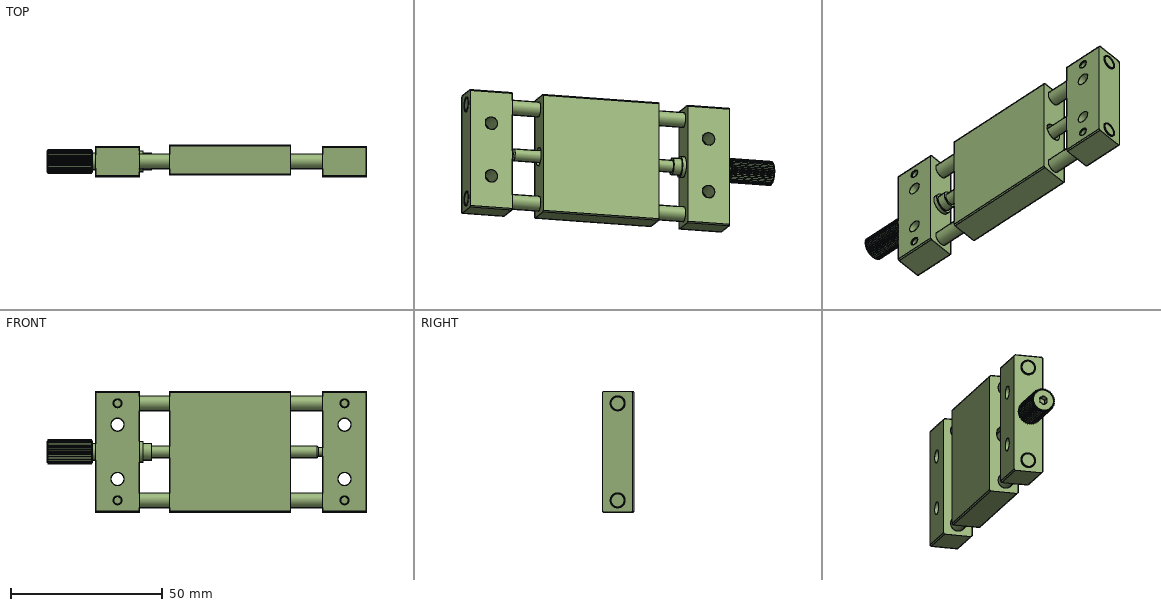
import cadquery as cq
import math

block_length = 14.5
height = 40.0
thickness = 10.0
left_block_start = 16.0
left_block_end = left_block_start + block_length
carriage_start = 40.5
carriage_length = height
right_block_end = 105.5
right_block_start = right_block_end - block_length
block_center_y = -0.06
carriage_center_y = block_center_y + 0.5
block_front_y = block_center_y - thickness / 2
edge_chamfer = 0.4

rod_diameter = 5.0
rod_spacing = 32.1
rod_chamfer = 0.3
rod_positions = [-rod_spacing / 2, rod_spacing / 2]

mount_hole_diameter = 4.2
mount_hole_spacing = 17.9
set_hole_diameter = 2.4
set_hole_mouth_diameter = 3.0
set_hole_depth = 2.1

shaft_diameter = 5.6
flange_diameter = 7.0
flange_length = 1.3
bushing_end = 34.5
screw_diameter = 4.0
screw_end = 89.7
screw_chamfer = 0.5
tip_diameter = 3.0
tip_depth = 4.2
carriage_bore_diameter = 6.0

knob_length = 15.0
knob_core_diameter = 7.4
knob_chamfer = 0.2
knurl_diameter = 8.0
knurl_margin = 0.3
tooth_count = 36
hex_across_flats = 2.5
hex_depth = 2.6


def x_cylinder(diameter, start, end, z=0):
    """Cylinder along X between two X positions."""
    return cq.Workplane("YZ", origin=(start, 0, z)).circle(diameter / 2).extrude(end - start)


def chamfered_plate(start, length, center_y):
    """Upright plate whose four edges along X are chamfered."""
    plate = cq.Workplane("XY").box(length, thickness, height, centered=(False, True, True))
    return plate.edges("|X").chamfer(edge_chamfer).translate((start, center_y, 0))


def make_rod(z):
    rod = x_cylinder(rod_diameter, left_block_start, right_block_end, z)
    return rod.faces("<X or >X").chamfer(rod_chamfer)


def rod_bores():
    bores = cq.Workplane("XY")
    for z in rod_positions:
        bores = bores.add(x_cylinder(rod_diameter, left_block_start, right_block_end, z))
    return bores.combine()


def front_holes(center_x, spacing, diameter, depth):
    """Pair of round holes, one above the other, sunk from the front of an end block."""
    front = cq.Workplane("XZ", origin=(center_x, block_front_y, 0))
    return front.rarray(1.1, spacing, 1, 2).circle(diameter / 2).extrude(-depth)


def front_countersinks(center_x, spacing, mouth_diameter, hole_diameter):
    """Pair of 45 degree cones that widen the holes at the front of an end block."""
    depth = (mouth_diameter - hole_diameter) / 2
    front = cq.Workplane("XZ", origin=(center_x, block_front_y, 0))
    return front.rarray(1.1, spacing, 1, 2).circle(mouth_diameter / 2).extrude(-depth, taper=45)


def make_end_block(start):
    """End block with rod bores, mounting holes and countersunk set-screw holes."""
    center_x = start + block_length / 2
    block = chamfered_plate(start, block_length, block_center_y).cut(rod_bores())
    block = block.cut(front_holes(center_x, mount_hole_spacing, mount_hole_diameter, thickness))
    block = block.cut(front_holes(center_x, rod_spacing, set_hole_diameter, set_hole_depth))
    return block.cut(
        front_countersinks(center_x, rod_spacing, set_hole_mouth_diameter, set_hole_diameter)
    )


def make_carriage():
    carriage = chamfered_plate(carriage_start, carriage_length, carriage_center_y)
    bore = x_cylinder(carriage_bore_diameter, carriage_start, carriage_start + carriage_length)
    return carriage.cut(rod_bores()).cut(bore)


def make_knob():
    """Chamfered core with a straight knurl of V-shaped teeth that stops short of both ends."""
    core = x_cylinder(knob_core_diameter, 0, knob_length).faces("<X or >X").chamfer(knob_chamfer)
    points = []
    for index in range(2 * tooth_count):
        radius = (knurl_diameter if index % 2 == 0 else knob_core_diameter) / 2
        angle = math.pi * index / tooth_count
        points.append((radius * math.cos(angle), radius * math.sin(angle)))
    knurl = cq.Workplane("YZ", origin=(knurl_margin, 0, 0)).polyline(points).close()
    return core.union(knurl.extrude(knob_length - 2 * knurl_margin))


def make_screw():
    """Knob, journal, flange, bushing, screw and tip in one piece."""
    screw = make_knob().union(x_cylinder(shaft_diameter, knob_length, bushing_end))
    screw = screw.union(x_cylinder(flange_diameter, left_block_end, left_block_end + flange_length))
    thread = x_cylinder(screw_diameter, bushing_end, screw_end).faces(">X").chamfer(screw_chamfer)
    screw = screw.union(thread)
    screw = screw.union(x_cylinder(tip_diameter, screw_end, right_block_start + tip_depth))
    hex_corners = hex_across_flats / math.cos(math.pi / 6)
    socket = cq.Workplane("YZ").transformed(rotate=(0, 0, 90)).polygon(6, hex_corners)
    return screw.cut(socket.extrude(hex_depth))


rods = [make_rod(z) for z in rod_positions]
screw = make_screw()
carriage = make_carriage()
left_block = make_end_block(left_block_start)
left_block = left_block.cut(x_cylinder(shaft_diameter, left_block_start, left_block_end))
right_block = make_end_block(right_block_start)
right_block = right_block.cut(x_cylinder(tip_diameter, right_block_start, right_block_start + tip_depth))

result = cq.Compound.makeCompound(
    [left_block.val(), right_block.val(), carriage.val(), screw.val()] + [rod.val() for rod in rods]
)